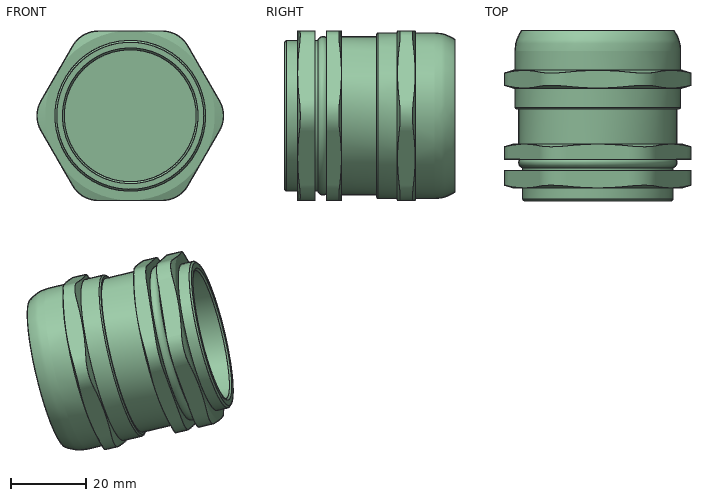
import cadquery as cq
import math

overall_width = 49.5
hex_across_flats = 45.0
hex_chamfer_depth = 0.7

thread_diameter = 40.0
thread_chamfer = 0.5
body_diameter = 42.0
cap_diameter = 44.0
cap_hex_chamfer_depth = 0.85
cap_chamfer = 0.4
dome_inset = 1.8

seal_section_radius = 1.5
seal_centre_gap = 0.85

bore_diameter = 35.0
bore_chamfer = 0.5
bore_depth = 9.0

locknut_start = 3.5
locknut_end = 8.1
body_hex_start = 11.1
body_hex_end = 15.1
cap_start = 24.4
cap_hex_start = 29.85
cap_hex_end = 34.8
dome_start = 39.8
total_length = 45.25


def revolve_about_y(profile):
    return profile.close().revolve(360, (0, 0, 0), (0, 1, 0))


def cylinder(diameter, start, end):
    plane = cq.Workplane("XZ", origin=(0, start, 0))
    return plane.circle(diameter / 2).extrude(start - end)


def hex_nut(start, end, chamfer_start, chamfer_end, face_diameter, chamfer_depth):
    """Hexagon with rounded corners and conical chamfers on the chosen faces."""
    sharp_width = hex_across_flats / math.cos(math.pi / 6)
    corner_cut = (sharp_width - overall_width) / 2
    corner_radius = corner_cut / (1 / math.cos(math.pi / 6) - 1)
    plane = cq.Workplane("XZ", origin=(0, start, 0))
    prism = plane.polygon(6, sharp_width).extrude(start - end)
    prism = prism.edges("|Y").fillet(corner_radius)

    face_radius = face_diameter / 2
    cone_slope = chamfer_depth / (overall_width / 2 - face_radius)
    rim_radius = sharp_width / 2
    rim_depth = cone_slope * (rim_radius - face_radius)
    profile = cq.Workplane("XY").moveTo(0, start)
    if chamfer_start:
        profile = profile.lineTo(face_radius, start).lineTo(rim_radius, start + rim_depth)
    else:
        profile = profile.lineTo(rim_radius, start)
    if chamfer_end:
        profile = profile.lineTo(rim_radius, end - rim_depth).lineTo(face_radius, end)
    else:
        profile = profile.lineTo(rim_radius, end)
    envelope = revolve_about_y(profile.lineTo(0, end))
    return prism.intersect(envelope)


def domed_cap():
    """Cap sleeve with a chamfered front edge and an arched shoulder at the far end."""
    radius = cap_diameter / 2
    dome_height = total_length - dome_start
    arch_radius = (dome_height**2 + dome_inset**2) / (2 * dome_inset)
    half_angle = math.asin(dome_height / arch_radius) / 2
    arch_middle = (
        radius - arch_radius * (1 - math.cos(half_angle)),
        dome_start + arch_radius * math.sin(half_angle),
    )
    profile = (
        cq.Workplane("XY")
        .moveTo(0, cap_start)
        .lineTo(radius - cap_chamfer, cap_start)
        .lineTo(radius, cap_start + cap_chamfer)
        .lineTo(radius, dome_start)
        .threePointArc(arch_middle, (radius - dome_inset, total_length))
        .lineTo(0, total_length)
    )
    return revolve_about_y(profile)


def sealing_ring():
    """Ring of round section, cut off flat where it presses against the body hexagon."""
    section_centre = (body_diameter / 2 - seal_section_radius, body_hex_start - seal_centre_gap)
    section = cq.Workplane("XY").center(*section_centre).circle(seal_section_radius)
    axis_start = (-section_centre[0], 0)
    axis_end = (-section_centre[0], 1)
    ring = section.revolve(360, axis_start, axis_end)
    return ring.intersect(cylinder(cap_diameter, locknut_end, body_hex_start))


def bore():
    hole = cylinder(bore_diameter, 0, bore_depth)
    mouth = (
        cq.Workplane("XY")
        .lineTo(bore_diameter / 2 + bore_chamfer, 0)
        .lineTo(bore_diameter / 2, bore_chamfer)
        .lineTo(0, bore_chamfer)
    )
    return hole.union(revolve_about_y(mouth))


thread = cylinder(thread_diameter, 0, body_hex_start).faces("<Y").chamfer(thread_chamfer)

locknut = hex_nut(
    locknut_start, locknut_end, True, False, hex_across_flats, hex_chamfer_depth
)
body_hex = hex_nut(
    body_hex_start, body_hex_end, False, True, hex_across_flats, hex_chamfer_depth
)
cap_hex = hex_nut(
    cap_hex_start, cap_hex_end, True, True, cap_diameter, cap_hex_chamfer_depth
)

result = (
    thread
    .union(locknut)
    .union(sealing_ring())
    .union(body_hex)
    .union(cylinder(body_diameter, body_hex_end, cap_start))
    .union(domed_cap())
    .union(cap_hex)
    .cut(bore())
)